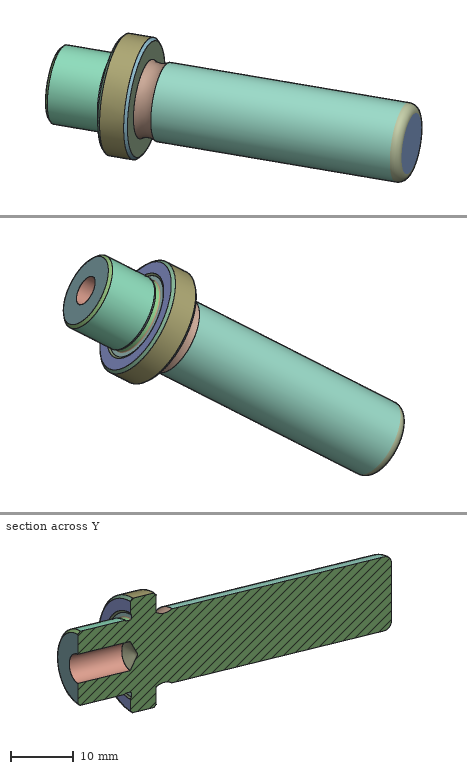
import cadquery as cq
import math

total_length = 60.0
pin_radius = 12.95 / 2
collar_radius = 20.0 / 2
collar_start = 10.0
collar_width = 5.05
collar_end = collar_start + collar_width
edge_chamfer = 0.5
tip_fillet = 1.5

relief_depth = 0.2
relief_slope = 0.35
pilot_relief_length = 1.1
face_relief_height = 1.0
relief_fillet = 0.2

neck_width = 2.95
neck_depth = 0.4

hole_radius = 5.0 / 2
hole_depth = 10.0
drill_point_angle = 120.0


def turned_body():
    """Revolve the half outline about the X axis."""
    relief_radius = pin_radius - relief_depth
    relief_floor = collar_start + relief_depth
    relief_start = collar_start - pilot_relief_length
    face_relief_radius = pin_radius + face_relief_height
    corner_setback = relief_fillet * (1 - math.sqrt(0.5))
    neck_end = collar_end + neck_width
    diagonal = tip_fillet * math.sqrt(0.5)
    tip_center_x = total_length - tip_fillet
    tip_center_r = pin_radius - tip_fillet

    outline = (
        cq.Workplane("XY")
        .lineTo(0, pin_radius - edge_chamfer)
        .lineTo(edge_chamfer, pin_radius)
        .lineTo(relief_start, pin_radius)
        .lineTo(relief_start + relief_slope, relief_radius)
        .lineTo(relief_floor - relief_fillet, relief_radius)
        .threePointArc(
            (relief_floor - corner_setback, relief_radius + corner_setback),
            (relief_floor, relief_radius + relief_fillet),
        )
        .lineTo(relief_floor, face_relief_radius - relief_slope)
        .lineTo(collar_start, face_relief_radius)
        .lineTo(collar_start, collar_radius - edge_chamfer)
        .lineTo(collar_start + edge_chamfer, collar_radius)
        .lineTo(collar_end - edge_chamfer, collar_radius)
        .lineTo(collar_end, collar_radius - edge_chamfer)
        .lineTo(collar_end, pin_radius)
        .threePointArc(
            (collar_end + neck_width / 2, pin_radius - neck_depth),
            (neck_end, pin_radius),
        )
        .lineTo(tip_center_x, pin_radius)
        .threePointArc(
            (tip_center_x + diagonal, tip_center_r + diagonal),
            (total_length, tip_center_r),
        )
        .lineTo(total_length, 0)
        .close()
    )
    return outline.revolve(360, (0, 0, 0), (1, 0, 0))


def drilled_hole():
    """Cylinder along X with a conical drill point."""
    point_length = hole_radius / math.tan(math.radians(drill_point_angle / 2))
    outline = (
        cq.Workplane("XY")
        .lineTo(0, hole_radius)
        .lineTo(hole_depth, hole_radius)
        .lineTo(hole_depth + point_length, 0)
        .close()
    )
    return outline.revolve(360, (0, 0, 0), (1, 0, 0))


result = turned_body().cut(drilled_hole())